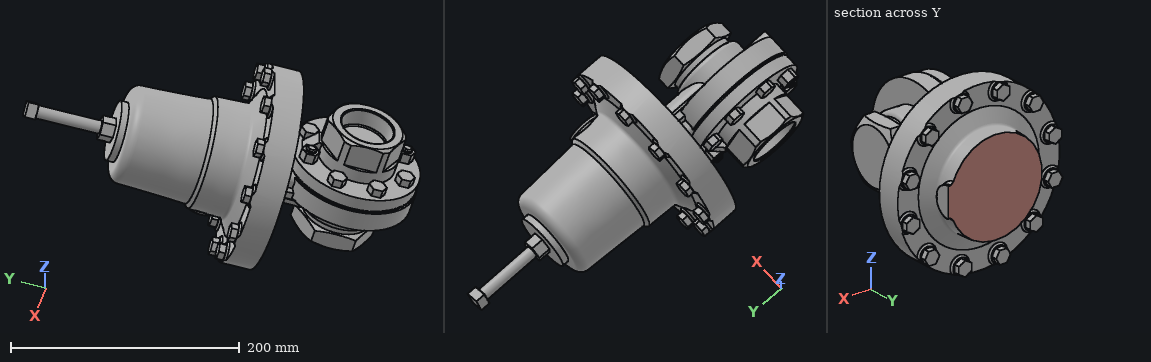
import cadquery as cq
import math


FLANGE_RADIUS = 179.32 / 2
FLANGE_BOTTOM_Y = 64.7
FLANGE_TOP_Y = 91.1
FLANGE_BOLT_COUNT = 12
FLANGE_BOLT_CIRCLE = 81.6
FLANGE_BOLT_START = 15.0
FLANGE_BOLT_HEAD = 6.1
FLANGE_BOLT_TURN = 45.0
PAD_TOP_RADIUS = 8.7
PAD_HEIGHT = 1.9
PAD_TOP_Y = FLANGE_TOP_Y + PAD_HEIGHT
BOLT_ACROSS_FLATS = 14.0

FLARE_CONE_TOP_Y = 98.8
FLARE_CONE_ANGLE = 30.0
FLARE_FILLET = 3.7
BONNET_BASE_RADIUS = 51.7
BONNET_SHOULDER_Y = 131.3
BONNET_SHOULDER_RADIUS = 50.6
BONNET_STEP_Y = 134.6
BONNET_STEP_RADIUS = 47.3
BONNET_TOP_Y = 205.4
BONNET_TOP_RADIUS = 44.3
BONNET_ROUNDING = 9.0
BONNET_CAP_RADIUS = 27.0
BONNET_CAP_TOP_Y = 211.9

SIDE_BOSS_RADIUS = 16.0
SIDE_BOSS_Y = 115.4
SIDE_BOSS_END_X = 53.3
SIDE_BOSS_CONE_END_X = 50.5
SIDE_BOSS_CONE_LENGTH = 5.0

BODY_FLANGE_RADIUS = 60.0
BODY_FLANGE_LEFT_X = -18.3
BODY_FLANGE_RIGHT_X = 0.5
COVER_RADIUS = 59.0
COVER_LEFT_X = -32.5
COVER_RIGHT_X = -20.0
GASKET_RADIUS = 58.0
BARREL_RADIUS = 35.6
BARREL_END_X = 22.3
NECK_RADIUS = 30.4
UNION_LEFT_X = 28.0
UNION_RIGHT_X = 46.1
PORT_ACROSS_FLATS = 64.8
UNION_FACE_RADIUS = 31.5
UNION_FACE_CHAMFER = 1.8
UNION_END_RADIUS = 29.2
UNION_END_CHAMFER = 4.6

OVERALL_LENGTH_Y = 351.62
SCREW_RADIUS = 6.0
SCREW_END_Y = OVERALL_LENGTH_Y - BODY_FLANGE_RADIUS
LOCKNUT_ACROSS_FLATS = 19.0
LOCKNUT_HEIGHT = 11.9
LOCKNUT_TURN = 30.0
SCREW_HEAD_SIDE = 13.5
SCREW_HEAD_HEIGHT = 9.6
SCREW_HEAD_TURN = 30.0

INLET_HEX_RIGHT_X = -45.1
INLET_END_X = -68.6
INLET_CHAMFER_RADIUS = 32.0
INLET_CHAMFER_LENGTH = 2.1
BORE_MOUTH_RADIUS = 24.8
BORE_RADIUS = 23.8
BORE_INNER_RADIUS = 22.7
BORE_BOTTOM_RADIUS = 21.8
BORE_CHAMFER = 1.0
BORE_BOTTOM_CHAMFER = 1.5
BORE_DEPTH = 17.0

RIB_WIDTH = 16.2
RIB_ROOT_Y = 49.0
RIB_TIP_Y = 37.1

COVER_BOLT_COUNT = 8
COVER_BOLT_CIRCLE = 47.3
COVER_BOLT_HEAD = 7.4
COVER_NUT_HEIGHT = 9.6
COVER_STUD_RADIUS = 4.7
COVER_STUD_CHAMFER = 1.3
COVER_STUD_LENGTH = 12.5
COVER_STUD_INDEXES = (3, 7)

LOBE_RADIUS = 8.0
LOBE_TIP_X = 11.3
LOBE_FILLET = 4.0

YOKE_LEFT_X = -20.5
YOKE_CORNER_X = -13.6
YOKE_SIDE_Z = 26.7
YOKE_LOW_Z = 32.4
YOKE_STEP_START_X = -7.8
YOKE_STEP_END_X = -5.0
YOKE_HIGH_Z = 35.3
YOKE_CREST_X = 1.6
YOKE_SHOULDER_START = (4.7, 31.7)
YOKE_SHOULDER_MIDDLE = (10.6, 29.6)
YOKE_SHOULDER_END = (14.1, 24.3)
YOKE_NOSE_MIDDLE = (17.6, 12.5)
YOKE_NOSE_X = 18.6


def hexagon(plane, origin, across_flats, length, turn=0.0):
    """Hexagonal prism on the given plane, turned about its own axis by `turn` degrees."""
    across_corners = across_flats / math.cos(math.pi / 6)
    return (
        cq.Workplane(plane, origin=origin)
        .transformed(rotate=(0, 0, turn))
        .polygon(6, across_corners)
        .extrude(length)
    )


def rod_x(radius, start_x, end_x, y=0.0, z=0.0):
    """Cylinder along X between two positions."""
    return cq.Workplane("YZ", origin=(start_x, y, z)).circle(radius).extrude(end_x - start_x)


def revolve_x(points):
    """Solid of revolution about X from (x, radius) points."""
    return cq.Workplane("XY").polyline(points).close().revolve(360, (0, 0, 0), (1, 0, 0))


def cylinder_y(radius, start_y, end_y):
    """Cylinder on the actuator axis between two heights."""
    return cq.Workplane("XZ", origin=(0, start_y, 0)).circle(radius).extrude(start_y - end_y)


def bonnet():
    """Bonnet turned about the Y axis, flaring out onto the flange."""
    diagonal = math.sqrt(0.5)
    cone_angle = math.radians(FLARE_CONE_ANGLE)
    flare_turn = math.pi / 2 - cone_angle
    flare_top_y = FLARE_CONE_TOP_Y + FLARE_FILLET * math.sin(flare_turn)
    flare_cone_radius = BONNET_BASE_RADIUS + FLARE_FILLET * (1 - math.cos(flare_turn))
    flare_base_radius = flare_cone_radius + (FLARE_CONE_TOP_Y - FLANGE_TOP_Y) / math.tan(cone_angle)
    flare_mid_radius = BONNET_BASE_RADIUS + FLARE_FILLET * (1 - math.cos(flare_turn / 2))
    flare_mid_y = flare_top_y - FLARE_FILLET * math.sin(flare_turn / 2)
    crown_radius = BONNET_TOP_RADIUS - BONNET_ROUNDING
    crown_mid_offset = BONNET_ROUNDING * diagonal
    crown_centre_y = BONNET_TOP_Y - BONNET_ROUNDING
    profile = (
        cq.Workplane("XY")
        .moveTo(0, FLANGE_TOP_Y)
        .lineTo(flare_base_radius, FLANGE_TOP_Y)
        .lineTo(flare_cone_radius, FLARE_CONE_TOP_Y)
        .threePointArc((flare_mid_radius, flare_mid_y), (BONNET_BASE_RADIUS, flare_top_y))
        .lineTo(BONNET_SHOULDER_RADIUS, BONNET_SHOULDER_Y)
        .lineTo(BONNET_STEP_RADIUS, BONNET_STEP_Y)
        .lineTo(BONNET_TOP_RADIUS, crown_centre_y)
        .threePointArc(
            (crown_radius + crown_mid_offset, crown_centre_y + crown_mid_offset),
            (crown_radius, BONNET_TOP_Y),
        )
        .lineTo(BONNET_CAP_RADIUS, BONNET_TOP_Y)
        .lineTo(BONNET_CAP_RADIUS, BONNET_CAP_TOP_Y)
        .lineTo(0, BONNET_CAP_TOP_Y)
        .close()
    )
    return profile.revolve(360, (0, 0, 0), (0, 1, 0))


def side_boss():
    """Round boss on the +X side of the bonnet, spreading in a 45-degree cone at its root."""
    root = (
        cq.Workplane("YZ", origin=(SIDE_BOSS_CONE_END_X, SIDE_BOSS_Y, 0))
        .circle(SIDE_BOSS_RADIUS)
        .workplane(offset=-SIDE_BOSS_CONE_LENGTH)
        .circle(SIDE_BOSS_RADIUS + SIDE_BOSS_CONE_LENGTH)
        .loft()
    )
    return rod_x(SIDE_BOSS_RADIUS, 0, SIDE_BOSS_END_X, y=SIDE_BOSS_Y).union(root)


def around_flange(item):
    """Copies of one item, placed on the bolt circle at Z = 0, at every flange bolt position."""
    copies = cq.Workplane("XY")
    for index in range(FLANGE_BOLT_COUNT):
        angle = FLANGE_BOLT_START + index * 360 / FLANGE_BOLT_COUNT
        copies = copies.add(item.rotate((0, 0, 0), (0, 1, 0), angle))
    return copies.combine()


def flange():
    """Flange disc with 45-degree conical bolt pads, all trimmed to the rim."""
    blank = cylinder_y(FLANGE_BOLT_CIRCLE + 2 * PAD_TOP_RADIUS, FLANGE_BOTTOM_Y, FLANGE_TOP_Y)
    pad = (
        cq.Workplane("XZ", origin=(FLANGE_BOLT_CIRCLE, FLANGE_TOP_Y, 0))
        .circle(PAD_TOP_RADIUS + PAD_HEIGHT)
        .extrude(-PAD_HEIGHT, taper=45)
    )
    rim = cylinder_y(FLANGE_RADIUS, FLANGE_BOTTOM_Y, PAD_TOP_Y)
    return blank.union(around_flange(pad)).intersect(rim)


def flange_bolts():
    """Ring of hexagon heads on the pads."""
    head = hexagon(
        "XZ",
        (FLANGE_BOLT_CIRCLE, PAD_TOP_Y, 0),
        BOLT_ACROSS_FLATS,
        -FLANGE_BOLT_HEAD,
        FLANGE_BOLT_TURN,
    )
    return around_flange(head)


def adjusting_screw():
    """Screw with lock nut and square head on the bonnet cap."""
    head_base_y = SCREW_END_Y - SCREW_HEAD_HEIGHT
    shank = cylinder_y(SCREW_RADIUS, BONNET_CAP_TOP_Y, head_base_y)
    nut = hexagon(
        "XZ", (0, BONNET_CAP_TOP_Y, 0), LOCKNUT_ACROSS_FLATS, -LOCKNUT_HEIGHT, LOCKNUT_TURN
    )
    head = (
        cq.Workplane("XZ", origin=(0, head_base_y, 0))
        .transformed(rotate=(0, 0, -SCREW_HEAD_TURN))
        .rect(SCREW_HEAD_SIDE, SCREW_HEAD_SIDE)
        .extrude(-SCREW_HEAD_HEIGHT)
    )
    return shank.union(nut).union(head)


def valve_body():
    """Body flange, barrel, neck and union nut along +X."""
    return body_flange().union(barrel_and_neck()).union(union_nut())


def body_flange():
    """Body flange and drain lobe, trimmed together to the flange radius."""
    blank = rod_x(BODY_FLANGE_RADIUS + LOBE_RADIUS, BODY_FLANGE_LEFT_X, BODY_FLANGE_RIGHT_X)
    rim = rod_x(BODY_FLANGE_RADIUS, BODY_FLANGE_LEFT_X, LOBE_TIP_X)
    return blank.union(drain_lobe()).intersect(rim)


def barrel_and_neck():
    """Barrel whose end is rounded right down to the neck."""
    rounding = BARREL_RADIUS - NECK_RADIUS
    barrel = rod_x(BARREL_RADIUS, 0, BARREL_END_X).faces(">X").edges().fillet(rounding)
    return barrel.union(rod_x(NECK_RADIUS, 0, UNION_LEFT_X))


def union_nut():
    """Hexagon nut with its corners turned off at both ends."""
    corner_radius = PORT_ACROSS_FLATS / math.sqrt(3)
    nut = hexagon(
        "YZ", (UNION_LEFT_X, 0, 0), PORT_ACROSS_FLATS, UNION_RIGHT_X - UNION_LEFT_X
    )
    turned = revolve_x([
        (UNION_LEFT_X, 0),
        (UNION_LEFT_X, UNION_FACE_RADIUS),
        (UNION_LEFT_X + UNION_FACE_CHAMFER, corner_radius),
        (UNION_RIGHT_X - UNION_END_CHAMFER, corner_radius),
        (UNION_RIGHT_X, UNION_END_RADIUS),
        (UNION_RIGHT_X, 0),
    ])
    return nut.intersect(turned)


def cover():
    """Cover disc with its gasket, the hexagonal inlet and the rib."""
    disc = rod_x(COVER_RADIUS, COVER_LEFT_X, COVER_RIGHT_X)
    gasket = rod_x(GASKET_RADIUS, COVER_RIGHT_X, BODY_FLANGE_LEFT_X)
    collar = rod_x(BARREL_RADIUS, INLET_HEX_RIGHT_X, COVER_LEFT_X)
    return disc.union(gasket).union(collar).union(inlet_hexagon()).union(cover_rib())


def inlet_hexagon():
    """Hexagon with its corners turned down to the collar radius and chamfered at the end."""
    prism = hexagon(
        "YZ", (INLET_END_X, 0, 0), PORT_ACROSS_FLATS, INLET_HEX_RIGHT_X - INLET_END_X
    )
    turned = revolve_x([
        (INLET_END_X, 0),
        (INLET_END_X, INLET_CHAMFER_RADIUS),
        (INLET_END_X + INLET_CHAMFER_LENGTH, BARREL_RADIUS),
        (INLET_HEX_RIGHT_X, BARREL_RADIUS),
        (INLET_HEX_RIGHT_X, 0),
    ])
    return prism.intersect(turned)


def inlet_bore():
    """Blind, slightly tapered bore with a chamfered mouth and bottom."""
    bottom_x = INLET_END_X + BORE_DEPTH
    return revolve_x([
        (INLET_END_X, 0),
        (INLET_END_X, BORE_MOUTH_RADIUS),
        (INLET_END_X + BORE_CHAMFER, BORE_RADIUS),
        (bottom_x - BORE_BOTTOM_CHAMFER, BORE_INNER_RADIUS),
        (bottom_x, BORE_BOTTOM_RADIUS),
        (bottom_x, 0),
    ])


def cover_rib():
    """Sloping rib on the flange side of the collar."""
    outline = [
        (COVER_LEFT_X, 0),
        (COVER_LEFT_X, RIB_ROOT_Y),
        (INLET_HEX_RIGHT_X, RIB_TIP_Y),
        (INLET_HEX_RIGHT_X, 0),
    ]
    return cq.Workplane("XY").polyline(outline).close().extrude(RIB_WIDTH / 2, both=True)


def cover_bolts():
    """Hexagon heads on the cover; two places carry a nut on a stud instead."""
    fasteners = cq.Workplane("XY")
    for index in range(COVER_BOLT_COUNT):
        angle = math.radians((index + 0.5) * 360 / COVER_BOLT_COUNT)
        y = COVER_BOLT_CIRCLE * math.cos(angle)
        z = COVER_BOLT_CIRCLE * math.sin(angle)
        has_stud = index in COVER_STUD_INDEXES
        height = COVER_NUT_HEIGHT if has_stud else COVER_BOLT_HEAD
        fastener = hexagon("YZ", (COVER_LEFT_X, y, z), BOLT_ACROSS_FLATS, -height)
        if has_stud:
            stud = rod_x(COVER_STUD_RADIUS, COVER_LEFT_X - COVER_STUD_LENGTH, COVER_LEFT_X, y, z)
            fastener = fastener.union(stud.faces("<X").chamfer(COVER_STUD_CHAMFER))
        fasteners = fasteners.add(fastener)
    return fasteners.combine()


def drain_lobe():
    """Rounded lobe along -Y, blended into the right face of the body flange."""
    lobe_x = LOBE_TIP_X - LOBE_RADIUS
    blend_x = BODY_FLANGE_RIGHT_X + LOBE_FILLET
    reach = LOBE_RADIUS + LOBE_FILLET
    angle = math.asin((blend_x - lobe_x) / reach)
    blend_z = reach * math.cos(angle)
    touch_x = lobe_x + LOBE_RADIUS * math.sin(angle)
    touch_z = LOBE_RADIUS * math.cos(angle)
    middle_angle = (math.pi / 2 + angle) / 2
    middle_x = blend_x - LOBE_FILLET * math.sin(middle_angle)
    middle_z = blend_z - LOBE_FILLET * math.cos(middle_angle)
    return (
        cq.Workplane("XZ")
        .moveTo(0, -blend_z)
        .lineTo(BODY_FLANGE_RIGHT_X, -blend_z)
        .threePointArc((middle_x, -middle_z), (touch_x, -touch_z))
        .threePointArc((LOBE_TIP_X, 0), (touch_x, touch_z))
        .threePointArc((middle_x, middle_z), (BODY_FLANGE_RIGHT_X, blend_z))
        .lineTo(0, blend_z)
        .close()
        .extrude(BODY_FLANGE_RADIUS + LOBE_RADIUS / 2)
    )


def yoke():
    """Stepped, round-nosed column from the flange to the valve axis, symmetric about Z = 0."""
    diagonal = math.sqrt(0.5)
    corner_mid_x = YOKE_CORNER_X + (YOKE_LEFT_X - YOKE_CORNER_X) * diagonal
    corner_mid_z = YOKE_SIDE_Z + (YOKE_LOW_Z - YOKE_SIDE_Z) * diagonal
    half = (
        cq.Workplane("XZ", origin=(0, FLANGE_BOTTOM_Y, 0))
        .moveTo(YOKE_LEFT_X, 0)
        .lineTo(YOKE_LEFT_X, YOKE_SIDE_Z)
        .threePointArc((corner_mid_x, corner_mid_z), (YOKE_CORNER_X, YOKE_LOW_Z))
        .lineTo(YOKE_STEP_START_X, YOKE_LOW_Z)
        .lineTo(YOKE_STEP_END_X, YOKE_HIGH_Z)
        .lineTo(YOKE_CREST_X, YOKE_HIGH_Z)
        .lineTo(*YOKE_SHOULDER_START)
        .threePointArc(YOKE_SHOULDER_MIDDLE, YOKE_SHOULDER_END)
        .threePointArc(YOKE_NOSE_MIDDLE, (YOKE_NOSE_X, 0))
        .close()
        .extrude(FLANGE_BOTTOM_Y)
    )
    return half.union(half.mirror("XY"))


result = (
    flange()
    .union(bonnet())
    .union(side_boss())
    .union(flange_bolts())
    .union(adjusting_screw())
    .union(yoke())
    .union(valve_body())
    .union(cover())
    .union(cover_bolts())
    .cut(inlet_bore())
)